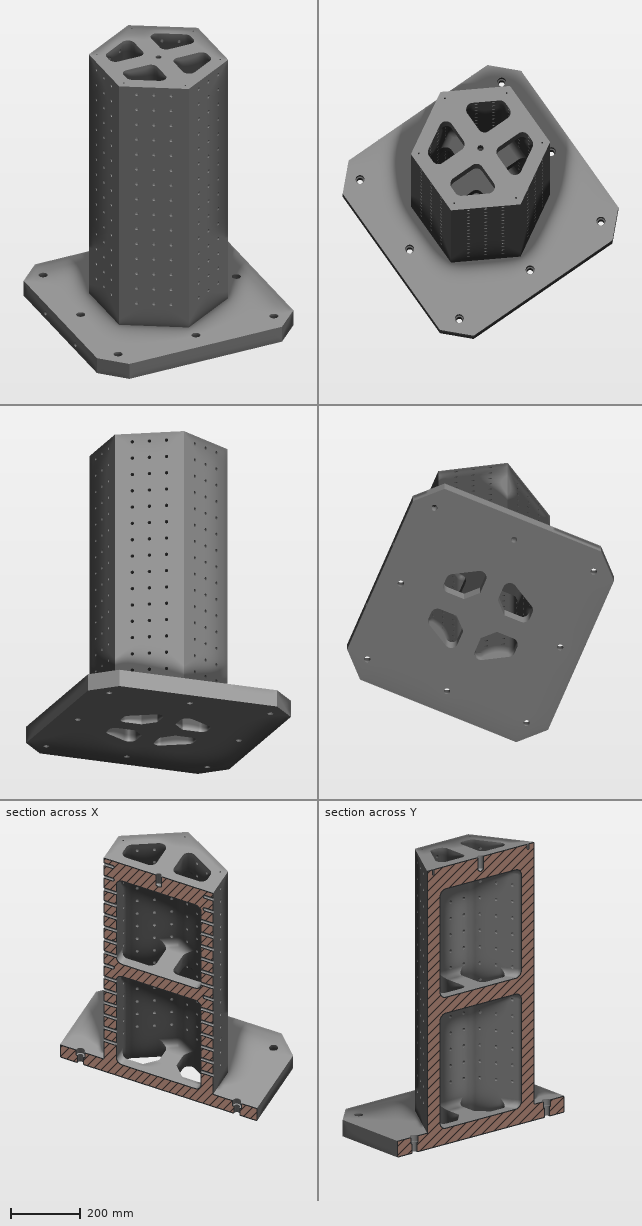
import cadquery as cq
import math

BASE_SIDE = 630.0
BASE_HEIGHT = 50.0
BASE_CORNER_CUT = 70.0
BOLT_SPACING = 250.0
BOLT_DIAMETER = 18.0
BOLT_COUNTERBORE_DIAMETER = 26.0
BOLT_COUNTERBORE_DEPTH = 20.0
SIDE_HOLE_DIAMETER = 14.0
SIDE_HOLE_DEPTH = 30.0
SIDE_HOLE_OFFSET = 100.0
SIDE_HOLE_HEIGHT = 18.0

TOTAL_HEIGHT = 850.0
FLAT_DISTANCE = 175.0
WALL = 40.0
INNER_FLAT_DISTANCE = FLAT_DISTANCE - WALL
HEX_FACE_COUNT = 6
HEX_STEP = 360.0 / HEX_FACE_COUNT
INNER_CORNER_RADIUS = 20.0

RIB_WIDTH = 55.0
TOP_RIB_HEIGHT = 70.0
MIDDLE_RIB_HEIGHT = 50.0
MIDDLE_RIB_CENTRE = 425.0
RIB_FILLET = 20.0
BASE_HUB_SIDE = 128.0
HUB_ANGLE = 45.0

GRID_HOLE_DIAMETER = 10.11
GRID_PITCH = 50.0
GRID_COLUMNS = 3
GRID_ROWS = 15
Y_FACES = (1, 4)
GRID_TOP = TOTAL_HEIGHT - GRID_PITCH / 2
GRID_HOLE_DEPTH = WALL + 5.0
BLIND_GRID_HOLE_DEPTH = 30.0
BLIND_ROWS = (0, 1, 8)

CENTRE_HOLE_DIAMETER = 17.5
CENTRE_HOLE_DEPTH = 40.0
CORNER_HOLE_DIAMETER = 5.0
CORNER_HOLE_CIRCLE_RADIUS = 179.0
CORNER_HOLE_DEPTH = 15.0

DRILL_POINT_ANGLE = 118.0


def hexagon_prism(flat_distance, bottom, top):
    corner_distance = flat_distance / math.cos(math.radians(HEX_STEP / 2))
    return (
        cq.Workplane("XY")
        .workplane(offset=bottom)
        .polygon(HEX_FACE_COUNT, 2 * corner_distance)
        .extrude(top - bottom)
    )


def cross(bottom, top):
    """Two crossed bars along X and Y, long enough to run into the tower walls."""
    length = 4 * FLAT_DISTANCE
    plane = cq.Workplane("XY").workplane(offset=bottom)
    along_x = plane.rect(length, RIB_WIDTH).extrude(top - bottom)
    along_y = plane.rect(RIB_WIDTH, length).extrude(top - bottom)
    return along_x.union(along_y)


def rib_windows():
    """Four rounded openings between the cross ribs and the walls, from bottom to top of the part."""
    openings = hexagon_prism(INNER_FLAT_DISTANCE, 0, TOTAL_HEIGHT).cut(cross(0, TOTAL_HEIGHT))
    return openings.edges("|Z").fillet(INNER_CORNER_RADIUS)


def base_hub():
    """Square hub, turned 45 degrees, that fills the middle of the cross inside the base."""
    hub = cq.Workplane("XY").rect(BASE_HUB_SIDE, BASE_HUB_SIDE).extrude(BASE_HEIGHT)
    return hub.rotate((0, 0, 0), (0, 0, 1), HUB_ANGLE)


def tower_chamber(bottom, top):
    """Open hexagonal space between two rib levels, rounded where the ribs meet the walls."""
    chamber = hexagon_prism(INNER_FLAT_DISTANCE, bottom, top).edges("|Z").fillet(INNER_CORNER_RADIUS)
    return chamber.faces("<Z or >Z").edges().fillet(RIB_FILLET)


def drill(diameter, depth, point, direction):
    """Drill-shaped solid with a conical tip, entering at point and running along direction."""
    radius = diameter / 2
    tip = radius / math.tan(math.radians(DRILL_POINT_ANGLE / 2))
    start = cq.Vector(*point)
    axis = cq.Vector(*direction)
    shank = cq.Solid.makeCylinder(radius, depth, start, axis)
    cone = cq.Solid.makeCone(radius, 0, tip, start + axis * depth, axis)
    return shank.fuse(cone)


def grid_holes():
    holes = []
    for face in range(HEX_FACE_COUNT):
        angle = HEX_STEP * (face + 0.5)
        normal_x = math.cos(math.radians(angle))
        normal_y = math.sin(math.radians(angle))
        faces_y_axis = face in Y_FACES
        for column in range(GRID_COLUMNS):
            steps_from_middle = column - (GRID_COLUMNS - 1) // 2
            offset = steps_from_middle * GRID_PITCH
            x = FLAT_DISTANCE * normal_x - offset * normal_y
            y = FLAT_DISTANCE * normal_y + offset * normal_x
            for row in range(GRID_ROWS):
                blind = faces_y_axis and steps_from_middle == 0 and row in BLIND_ROWS
                depth = BLIND_GRID_HOLE_DEPTH if blind else GRID_HOLE_DEPTH
                z = GRID_TOP - row * GRID_PITCH
                holes.append(drill(GRID_HOLE_DIAMETER, depth, (x, y, z), (-normal_x, -normal_y, 0)))
    return holes


def top_holes():
    down = (0, 0, -1)
    holes = [drill(CENTRE_HOLE_DIAMETER, CENTRE_HOLE_DEPTH, (0, 0, TOTAL_HEIGHT), down)]
    for corner in range(HEX_FACE_COUNT):
        angle = math.radians(HEX_STEP * corner)
        x = CORNER_HOLE_CIRCLE_RADIUS * math.cos(angle)
        y = CORNER_HOLE_CIRCLE_RADIUS * math.sin(angle)
        holes.append(drill(CORNER_HOLE_DIAMETER, CORNER_HOLE_DEPTH, (x, y, TOTAL_HEIGHT), down))
    return holes


def base_side_holes():
    holes = []
    for x in (-SIDE_HOLE_OFFSET, SIDE_HOLE_OFFSET):
        entry = (x, -BASE_SIDE / 2, SIDE_HOLE_HEIGHT)
        holes.append(drill(SIDE_HOLE_DIAMETER, SIDE_HOLE_DEPTH, entry, (0, 1, 0)))
    return holes


def base_plate():
    plate = cq.Workplane("XY").rect(BASE_SIDE, BASE_SIDE).extrude(BASE_HEIGHT)
    plate = plate.edges("|Z").chamfer(BASE_CORNER_CUT)
    steps = (-BOLT_SPACING, 0, BOLT_SPACING)
    bolt_points = [(x, y) for x in steps for y in steps if (x, y) != (0, 0)]
    return (
        plate.faces(">Z")
        .workplane(origin=(0, 0, BASE_HEIGHT))
        .pushPoints(bolt_points)
        .cboreHole(BOLT_DIAMETER, BOLT_COUNTERBORE_DIAMETER, BOLT_COUNTERBORE_DEPTH)
    )


middle_rib_bottom = MIDDLE_RIB_CENTRE - MIDDLE_RIB_HEIGHT / 2
middle_rib_top = MIDDLE_RIB_CENTRE + MIDDLE_RIB_HEIGHT / 2
top_rib_bottom = TOTAL_HEIGHT - TOP_RIB_HEIGHT

body = base_plate().union(hexagon_prism(FLAT_DISTANCE, BASE_HEIGHT, TOTAL_HEIGHT))
body = body.cut(rib_windows().cut(base_hub()))
body = body.cut(tower_chamber(BASE_HEIGHT, middle_rib_bottom), clean=False)
body = body.cut(tower_chamber(middle_rib_top, top_rib_bottom), clean=False)

all_holes = grid_holes() + top_holes() + base_side_holes()
result = cq.Workplane("XY").newObject([body.val().cut(*all_holes)])